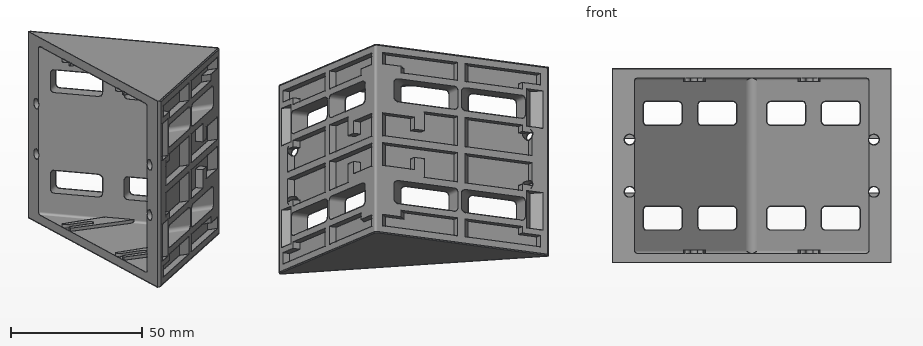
import cadquery as cq
import math

width = 106.3
height = 74.0
depth = 54.2
edge_chamfer = 0.4
outer_ridge_radius = 1.0
half_width = width / 2
half_height = height / 2
ridge_y = depth + outer_ridge_radius * (math.sqrt(2) - 1)
end_height = ridge_y - half_width

plate = 3.5
cavity_reach = 44.6
wall = (ridge_y - cavity_reach) / math.sqrt(2)
cavity_half_height = half_height - plate
ridge_fillet = 3.0
plate_fillet = 1.0

row_z = 20.0
window_length = 19.8
window_height = 9.0
window_low_ends = (8.3, 29.1)
window_radius = 1.6

pocket_depth = 3.0
upper_low_z, upper_step_z, upper_high_z = 27.0, 29.5, 34.0
middle_low_z, middle_step_z, middle_high_z = 1.4, 10.3, 12.9
strip_low_z = 5.5
strip_low_y, strip_high_y = 39.4, 42.6
ridge_low_y, ridge_step_y, ridge_high_y = 29.2, 46.8, 52.5
end_low_y, end_middle_y, end_step_y, end_high_y = 3.6, 6.2, 9.2, 26.9
pockets = [
    (ridge_low_y, ridge_high_y, upper_step_z, upper_high_z),
    (ridge_low_y, ridge_step_y, upper_low_z, upper_step_z),
    (end_low_y, end_high_y, upper_step_z, upper_high_z),
    (end_step_y, end_high_y, upper_low_z, upper_step_z),
    (ridge_low_y, ridge_high_y, middle_low_z, strip_low_z),
    (strip_high_y, ridge_high_y, strip_low_z, middle_step_z),
    (end_middle_y, end_high_y, middle_low_z, middle_step_z),
    (end_step_y, end_high_y, middle_step_z, middle_high_z),
]
square_pocket = (ridge_low_y, strip_low_y, strip_low_z, middle_high_z)

notch_low_y, notch_high_y = 2.9, 8.0
notch_height = 14.7

hole_x = 46.5
hole_z = 10.0
hole_diameter = 4.0
hole_depth = end_middle_y

pad_x = 22.0
pad_front_width = 6.8
pad_taper = 2.0
pad_thickness = 1.3
slot_width = 2.8
slot_length = 11.6
slot_entry_radius = 1.5

clearance = 1.1


def prism(points, low_z, high_z):
    """Upright prism over a polygon in the XY plane."""
    return cq.Workplane("XY").workplane(offset=low_z).polyline(points).close().extrude(high_z - low_z)


def wall_cutter(low_y, high_y, low_z, high_z, cut_depth, square=False):
    """Cutter entering the +X slanted wall.

    Its low-y end is square to the wall. Its high-y end runs along Y unless square is set.
    """
    def point(y, depth_in, along_y=False):
        if along_y:
            return (ridge_y - y, y - depth_in * math.sqrt(2))
        step = depth_in / math.sqrt(2)
        return (ridge_y - y - step, y - step)

    points = [
        point(low_y, cut_depth),
        point(low_y, -clearance),
        point(high_y, -clearance, not square),
        point(high_y, cut_depth, not square),
    ]
    return prism(points, low_z, high_z)


def make_block():
    """Solid wedge with a rounded ridge and chamfered slanted edges."""
    outline = [
        (-half_width, 0),
        (half_width, 0),
        (half_width, end_height),
        (0, ridge_y),
        (-half_width, end_height),
    ]
    block = prism(outline, -half_height, half_height)
    block = block.edges("|Z and >Y").fillet(outer_ridge_radius)
    return block.edges("|(1, 1, 0) or |(-1, 1, 0)").chamfer(edge_chamfer)


def make_cavity():
    """Wedge-shaped cavity whose fillets along the plates stop at the fillet in the ridge."""
    outline = [(-cavity_reach, 0), (cavity_reach, 0), (0, cavity_reach)]
    cavity = prism(outline, -cavity_half_height, cavity_half_height)
    rounded_at_plates = cavity.faces("|Z").edges("not <Y").fillet(plate_fillet)
    rounded_at_ridge = cavity.edges("|Z and >Y").fillet(ridge_fillet)
    return rounded_at_plates.intersect(rounded_at_ridge)


def make_pad():
    """Pad on the bottom plate on the +X side, running from the long face into the slanted wall."""
    half_front = pad_front_width / 2
    slope = math.tan(math.radians(pad_taper))
    into_wall = cavity_reach + clearance

    def back_corner(side):
        """Where a tapered side, +1 or -1, meets a 45 degree line just inside the slanted wall."""
        y = (into_wall - pad_x - side * half_front) / (1 + side * slope)
        return (into_wall - y, y)

    outline = [(pad_x - half_front, 0), (pad_x + half_front, 0), back_corner(1), back_corner(-1)]
    floor_z = -cavity_half_height
    pad = prism(outline, floor_z - clearance, floor_z + pad_thickness)
    return pad.cut(make_slot(floor_z))


def make_slot(floor_z):
    """Slot with a round closed end and an open end that flares out in two rounds."""
    half_slot = slot_width / 2
    half_entry = half_slot + slot_entry_radius
    round_start = slot_length - half_slot
    bend = slot_entry_radius * (1 - math.sqrt(0.5))
    return (
        cq.Workplane("XY").workplane(offset=floor_z).center(pad_x, 0)
        .moveTo(half_entry, 0)
        .threePointArc((half_slot + bend, bend), (half_slot, slot_entry_radius))
        .lineTo(half_slot, round_start)
        .threePointArc((0, slot_length), (-half_slot, round_start))
        .lineTo(-half_slot, slot_entry_radius)
        .threePointArc((-half_slot - bend, bend), (-half_entry, 0))
        .close()
        .extrude(pad_thickness)
    )


def make_cutters():
    """All cutters of the quarter with +X and +Z."""
    cutters = []
    window_low_z = row_z - window_height / 2
    window_high_z = row_z + window_height / 2
    for low_y in window_low_ends:
        high_y = low_y + window_length
        window = wall_cutter(low_y, high_y, window_low_z, window_high_z, wall + clearance)
        cutters.append(window.edges("|Y or |(1, 1, 0)").fillet(window_radius))
    for low_y, high_y, low_z, high_z in pockets:
        cutters.append(wall_cutter(low_y, high_y, low_z, high_z, pocket_depth))
    cutters.append(wall_cutter(*square_pocket, pocket_depth, square=True))

    notch_x = ridge_y - notch_high_y
    notch_outline = [
        (notch_x, notch_low_y),
        (half_width, notch_low_y),
        (notch_x, notch_low_y + half_width - notch_x),
    ]
    cutters.append(prism(notch_outline, row_z - notch_height / 2, row_z + notch_height / 2))

    cutters.append(cq.Workplane("XZ").center(hole_x, hole_z).circle(hole_diameter / 2).extrude(-hole_depth))
    return cutters


def with_mirror(shape, plane):
    """The shape and its mirror image in the given plane."""
    return [shape, shape.mirror(plane)]


result = make_block().cut(make_cavity())
for side_pad in with_mirror(make_pad(), "YZ"):
    for pad in with_mirror(side_pad, "XY"):
        result = result.union(pad)
for cutter in make_cutters():
    for side_cutter in with_mirror(cutter, "YZ"):
        for quarter_cutter in with_mirror(side_cutter, "XY"):
            result = result.cut(quarter_cutter)